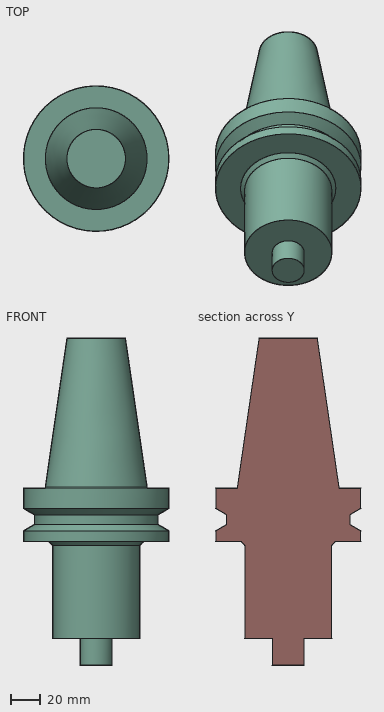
import cadquery as cq

total_height = 224.8

pin_diameter = 22.0
pin_length = 18.2

body_diameter = 60.0
collar_chamfer = 2.7

flange_diameter = 100.0
flange_bottom = 85.0
flange_top = 121.6

groove_diameter = 85.0
groove_bottom = 92.5
groove_top = 107.7
groove_floor_width = 6.5

taper_length = 101.8
taper_base_diameter = 70.0
taper_ratio = 7 / 24
taper_tip_diameter = taper_base_diameter - taper_length * taper_ratio
taper_base = total_height - taper_length


def cylinder(diameter, bottom, top):
    return cq.Workplane("XY").workplane(offset=bottom).circle(diameter / 2).extrude(top - bottom)


def cone(bottom_diameter, top_diameter, bottom, top):
    return (
        cq.Workplane("XY").workplane(offset=bottom).circle(bottom_diameter / 2)
        .workplane(offset=top - bottom).circle(top_diameter / 2)
        .loft(ruled=True)
    )


def grooved_flange():
    rim_radius = flange_diameter / 2
    floor_radius = groove_diameter / 2
    groove_middle = (groove_bottom + groove_top) / 2
    groove = (
        cq.Workplane("XZ")
        .moveTo(rim_radius, groove_bottom)
        .lineTo(floor_radius, groove_middle - groove_floor_width / 2)
        .lineTo(floor_radius, groove_middle + groove_floor_width / 2)
        .lineTo(rim_radius, groove_top)
        .close()
        .revolve(360, (0, 0), (0, 1))
    )
    return cylinder(flange_diameter, flange_bottom, flange_top).cut(groove)


def body():
    flare_bottom = flange_bottom - collar_chamfer
    flare_diameter = body_diameter + 2 * collar_chamfer
    barrel = cylinder(body_diameter, pin_length, flare_bottom)
    return barrel.union(cone(body_diameter, flare_diameter, flare_bottom, flange_bottom))


def taper_shank():
    land = cylinder(taper_base_diameter, flange_top, taper_base)
    return land.union(cone(taper_base_diameter, taper_tip_diameter, taper_base, total_height))


pilot_pin = cylinder(pin_diameter, 0, pin_length)
result = pilot_pin.union(body()).union(grooved_flange()).union(taper_shank())